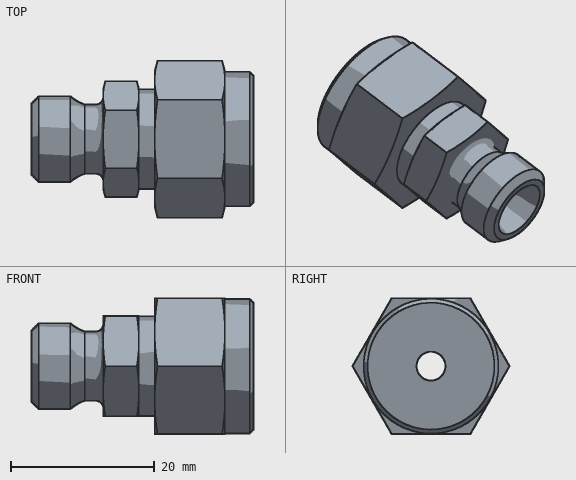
import cadquery as cq
import math

total_length = 31.0
nose_end = 5.42
neck_start = 7.4
small_hex_start = 10.0
small_hex_end = 15.0
large_hex_start = 17.2
large_hex_end = 27.0

nose_diameter = 12.0
neck_diameter = 9.7
collar_diameter = 13.95
rear_diameter = 18.82

small_hex_width = 14.0
large_hex_width = 19.0
hex_chamfer_angle = 15

nose_chamfer = 1.02
rear_chamfer = 0.55
neck_fillet = 1.02
shoulder_radius = 6.0

seat_mouth_diameter = 8.1
seat_floor_diameter = 6.0
seat_half_angle = 12
through_diameter = 4.0


def revolve_about_x(profile):
    """Turn a closed profile in the XY plane about the X axis."""
    return profile.close().revolve(360, (0, 0, 0), (1, 0, 0))


def cylinder(start, end, diameter):
    """Round bar along X between two stations."""
    return cq.Workplane("YZ", origin=(start, 0, 0)).circle(diameter / 2).extrude(end - start)


def concave_midpoint(start, end, radius):
    """Middle of the arc from start to end that sags towards the X axis."""
    run = end[0] - start[0]
    rise = end[1] - start[1]
    chord = math.hypot(run, rise)
    sag = radius - math.sqrt(radius**2 - (chord / 2) ** 2)
    middle_x = (start[0] + end[0]) / 2 + sag * rise / chord
    middle_y = (start[1] + end[1]) / 2 - sag * run / chord
    return (middle_x, middle_y)


def nose_and_neck():
    """Chamfered nose, hollow shoulder and a neck flaring into the small hexagon."""
    nose_radius = nose_diameter / 2
    neck_radius = neck_diameter / 2
    shoulder_top = (nose_end, nose_radius)
    shoulder_foot = (neck_start, neck_radius)
    flare_middle = (
        small_hex_start - neck_fillet * (1 - math.sin(math.pi / 4)),
        neck_radius + neck_fillet * (1 - math.cos(math.pi / 4)),
    )
    profile = (
        cq.Workplane("XY")
        .moveTo(0, 0)
        .lineTo(0, nose_radius - nose_chamfer)
        .lineTo(nose_chamfer, nose_radius)
        .lineTo(*shoulder_top)
        .threePointArc(concave_midpoint(shoulder_top, shoulder_foot, shoulder_radius), shoulder_foot)
        .lineTo(small_hex_start - neck_fillet, neck_radius)
        .threePointArc(flare_middle, (small_hex_start, neck_radius + neck_fillet))
        .lineTo(small_hex_start, 0)
    )
    return revolve_about_x(profile)


def chamfered_hexagon(start, end, width):
    """Hexagon with flats facing up and down, its corners turned off conically at both ends."""
    corner_diameter = width / math.cos(math.pi / 6)
    flat_radius = width / 2
    corner_radius = corner_diameter / 2
    cone_length = (corner_radius - flat_radius) * math.tan(math.radians(hex_chamfer_angle))
    prism = cq.Workplane("YZ", origin=(start, 0, 0)).polygon(6, corner_diameter).extrude(end - start)
    envelope = (
        cq.Workplane("XY")
        .moveTo(start, 0)
        .lineTo(start, flat_radius)
        .lineTo(start + cone_length, corner_radius)
        .lineTo(end - cone_length, corner_radius)
        .lineTo(end, flat_radius)
        .lineTo(end, 0)
    )
    return prism.intersect(revolve_about_x(envelope))


def stepped_bore():
    """Tapered seat with a flat floor, opening into the through hole."""
    seat_depth = (seat_mouth_diameter - seat_floor_diameter) / 2 / math.tan(math.radians(seat_half_angle))
    profile = (
        cq.Workplane("XY")
        .moveTo(0, 0)
        .lineTo(0, seat_mouth_diameter / 2)
        .lineTo(seat_depth, seat_floor_diameter / 2)
        .lineTo(seat_depth, through_diameter / 2)
        .lineTo(total_length, through_diameter / 2)
        .lineTo(total_length, 0)
    )
    return revolve_about_x(profile)


collar = cylinder(small_hex_end, large_hex_start, collar_diameter)
rear = cylinder(large_hex_end, total_length, rear_diameter).faces(">X").chamfer(rear_chamfer)

result = (
    nose_and_neck()
    .union(chamfered_hexagon(small_hex_start, small_hex_end, small_hex_width))
    .union(collar)
    .union(chamfered_hexagon(large_hex_start, large_hex_end, large_hex_width))
    .union(rear)
    .cut(stepped_bore())
)